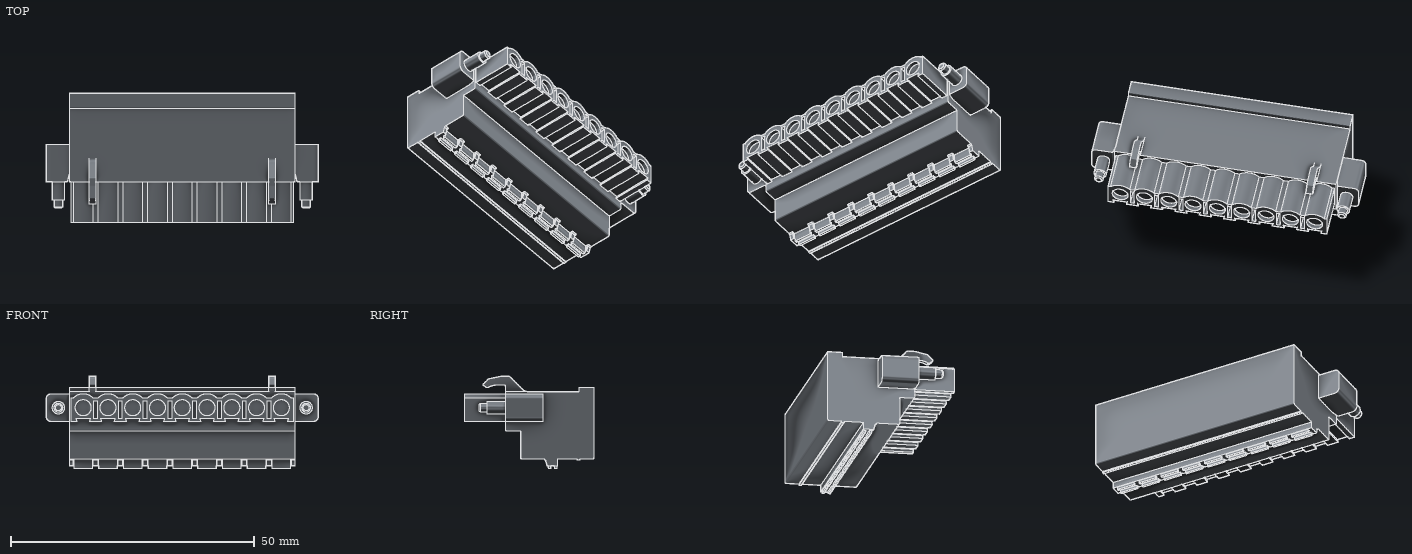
import cadquery as cq
import math


pole_count = 9
pitch = 5.1
pole_xs = [(i - (pole_count - 1) / 2) * pitch for i in range(pole_count)]
row_half = pole_count * pitch / 2

body_width = 46.4
body_half = body_width / 2
body_back = 18.2
body_top = 13.85
lip_top = 14.75
lip_front = 15.1
step_y = 3.15
step_z = 5.75
edge_radius = 0.35
lip_radius = 0.2

barrel_length = 8.4
axis_z = 10.55
barrel_radius = 2.85
barrel_bottom = 7.7
valley_z = 12.6
bore_diameter = 3.3
bore_depth = 1.0
gap_width = 0.8
gap_bottom = 8.4
gap_top = 11.95
keyway_height = 0.65
keyway_mouth = 2.55
keyway_floor = 2.95

ear_end = 27.95
ear_back = 7.7
ear_bottom = 7.7
ear_top = 13.4
ear_edge_radius = 0.3
ear_radius = 1.0
ear_gap = 0.35
ear_gap_depth = 1.55
screw_x = 25.4
shank_diameter = 2.55
shank_length = 3.75
tip_diameter = 1.8
tip_length = 1.7
tip_chamfer = 0.3

latch_x = 18.45
latch_width = 1.4
latch_top = 17.05
latch_tail = 4.75
latch_tail_radius = 1.75
ramp_angle = math.radians(45)
hook_thickness = 1.85
crest_radius = 0.55
crown_front_y = -0.85
crown_radius = 1.95
shoulder_y = -3.45
shoulder_drop = 0.55
shoulder_radius = 0.45
nose_y = -4.7
nose_drop = 1.8
nose_radius = 0.15
barb_front_y = -3.85
barb_back_y = -3.5
barb_height = 0.5
throat_mid_y = -2.5
throat_sag = 0.1
throat_front_y = -1.5
throat_radius = 0.2

rail_back = 10.75
rail_front_top = 8.15
rail_front_bottom = 8.55
rail_depth = 1.4
rib_chamfer = 0.14
rib_flare = 0.2
foot_front = 8.7
foot_width = 3.85
foot_depth = 1.95
toe_width = 0.6
toe_backs = (10.6, foot_front + toe_width)
toe_taper = 0.15
bead_y = 15.05
bead_width = 0.55
bead_depth = 0.2


def box(x0, x1, y0, y1, z0, z1):
    """Block between opposite corners."""
    return cq.Workplane("XY").box(x1 - x0, y1 - y0, z1 - z0, centered=False).translate((x0, y0, z0))


def along_x(profile, x_centre, width):
    """Extrude a closed Y-Z outline along X, centred on x_centre."""
    return profile.extrude(width / 2, both=True).translate((x_centre, 0, 0))


def cylinder_y(x, diameter, y_back, y_front):
    """Cylinder on the pole axis height, running toward -Y."""
    circle = cq.Workplane("XZ", origin=(x, y_back, axis_z)).circle(diameter / 2)
    return circle.extrude(y_back - y_front)


def edge_at(y, z, x=0):
    """Selector for the edge whose centre is nearest to a point."""
    return cq.selectors.NearestToPointSelector((x, y, z))


def make_body():
    outline = cq.Workplane("YZ").polyline([
        (body_back, 0),
        (body_back, lip_top),
        (lip_front, lip_top),
        (lip_front, body_top),
        (0, body_top),
        (0, step_z),
        (step_y, step_z),
        (step_y, 0),
    ]).close()
    body = along_x(outline, 0, body_width)
    for y, z in [(body_back, 0), (0, step_z), (step_y, 0)]:
        body = body.edges(edge_at(y, z)).fillet(edge_radius)
    return body.edges(edge_at(lip_front, lip_top)).fillet(lip_radius)


def make_barrels():
    row = box(-row_half, row_half, -barrel_length, 0, barrel_bottom, valley_z)
    for x in pole_xs:
        crown = cylinder_y(x, 2 * barrel_radius, 0, -barrel_length)
        upper_cell = box(x - pitch / 2, x + pitch / 2, -barrel_length, 0, axis_z, body_top)
        row = row.union(crown.intersect(upper_cell))
    for x in pole_xs:
        row = row.cut(cylinder_y(x, bore_diameter, bore_depth - barrel_length, -barrel_length))
        keyway = cq.Workplane("XZ").polyline([
            (x - keyway_mouth / 2, barrel_bottom),
            (x - keyway_floor / 2, barrel_bottom + keyway_height),
            (x + keyway_floor / 2, barrel_bottom + keyway_height),
            (x + keyway_mouth / 2, barrel_bottom),
        ]).close().extrude(barrel_length)
        row = row.cut(keyway)
    for x in pole_xs[1:]:
        left = x - pitch / 2 - gap_width / 2
        row = row.cut(box(left, left + gap_width, -barrel_length, 0, gap_bottom, gap_top))
    return row


def make_ear():
    """Ear on the -X end, with its screw."""
    ear = box(-ear_end, -body_half, 0, ear_back, ear_bottom, ear_top)
    ear = ear.edges("|Y and <X").fillet(ear_radius)
    relief = cq.Workplane("XY").polyline([
        (-body_half, 0),
        (-body_half - ear_gap, 0),
        (-body_half, ear_gap_depth),
    ]).close().extrude(body_top)
    tip = cylinder_y(-screw_x, tip_diameter, 0, -shank_length - tip_length).faces("<Y").chamfer(tip_chamfer)
    shank = cylinder_y(-screw_x, shank_diameter, 0, -shank_length)
    ear = ear.cut(relief)
    ear = ear.edges(edge_at(0, axis_z, -body_half - ear_gap)).fillet(ear_edge_radius)
    return ear.union(shank).union(tip)


def tail_point(angle):
    """Point on the tail arc, which leaves the body top tangentially and has turned by angle."""
    y = latch_tail - latch_tail_radius * math.sin(angle)
    z = body_top + latch_tail_radius * (1 - math.cos(angle))
    return y, z


def make_latch(x):
    """Hook ramping up from the body top and reaching forward over the barrels."""
    ramp_y, ramp_z = tail_point(ramp_angle)
    mid_tail = tail_point(ramp_angle / 2)
    crest_y = ramp_y - (latch_top - ramp_z) / math.tan(ramp_angle)
    throat_z = latch_top - hook_thickness
    barb_z = throat_z - barb_height
    outline = (
        cq.Workplane("YZ")
        .moveTo(0, body_top - edge_radius)
        .lineTo(latch_tail, body_top - edge_radius)
        .lineTo(latch_tail, body_top)
        .threePointArc(mid_tail, (ramp_y, ramp_z))
        .lineTo(crest_y, latch_top)
        .lineTo(crown_front_y, latch_top)
        .lineTo(shoulder_y, latch_top - shoulder_drop)
        .lineTo(nose_y, latch_top - nose_drop)
        .lineTo(barb_front_y, barb_z)
        .lineTo(barb_back_y, barb_z)
        .threePointArc((throat_mid_y, throat_z - throat_sag), (throat_front_y, throat_z))
        .lineTo(0, throat_z)
        .close()
    )
    hook = along_x(outline, 0, latch_width)
    rounds = [
        (crest_y, latch_top, crest_radius),
        (crown_front_y, latch_top, crown_radius),
        (shoulder_y, latch_top - shoulder_drop, shoulder_radius),
        (nose_y, latch_top - nose_drop, nose_radius),
        (0, throat_z, throat_radius),
    ]
    for y, z, radius in rounds:
        hook = hook.edges(edge_at(y, z)).fillet(radius)
    return hook.translate((x, 0, 0))


def make_rib(x):
    """Sloped rib across the front of the rail, with softened corners and a flared root."""
    wedge = cq.Workplane("YZ").polyline([
        (foot_front, 0),
        (foot_front, -rail_depth),
        (rail_front_bottom, -rail_depth),
        (rail_front_top, 0),
    ]).close()
    rib = along_x(wedge, x, pitch - foot_width)
    rib = rib.faces("<Y").edges("not |X").chamfer(rib_chamfer)
    flare = cq.Workplane("YZ").polyline([
        (foot_front, edge_radius),
        (foot_front, -rib_flare),
        (rail_front_top, -rib_flare),
        (rail_front_top - rib_flare, 0),
        (rail_front_top - rib_flare, edge_radius),
    ]).close()
    return rib.union(along_x(flare, x, pitch - foot_width))


def make_toe(x, back):
    """Small toe under a foot, its front face leaning back toward the tip."""
    front = back - toe_width
    outline = cq.Workplane("YZ").polyline([
        (back, 0),
        (back, -foot_depth),
        (front + toe_taper, -foot_depth),
        (front, -rail_depth),
        (front, 0),
    ]).close()
    return along_x(outline, x, foot_width)


def make_underside():
    rail = box(-body_half, body_half, foot_front, rail_back, -rail_depth, edge_radius)
    for i in range(pole_count + 1):
        rail = rail.union(make_rib(i * pitch - row_half))
    rail = rail.intersect(box(-body_half, body_half, 0, body_back, -rail_depth, edge_radius))
    for x in pole_xs:
        for y in toe_backs:
            rail = rail.union(make_toe(x, y))
    bead_front = bead_y - bead_width / 2
    bead = box(-body_half, body_half, bead_front, bead_front + bead_width, -bead_depth, edge_radius)
    return rail.union(bead)


ear = make_ear()
result = make_body().union(make_barrels()).union(make_underside())
result = result.union(ear).union(ear.mirror("YZ"))
for x in (-latch_x, latch_x):
    result = result.union(make_latch(x))